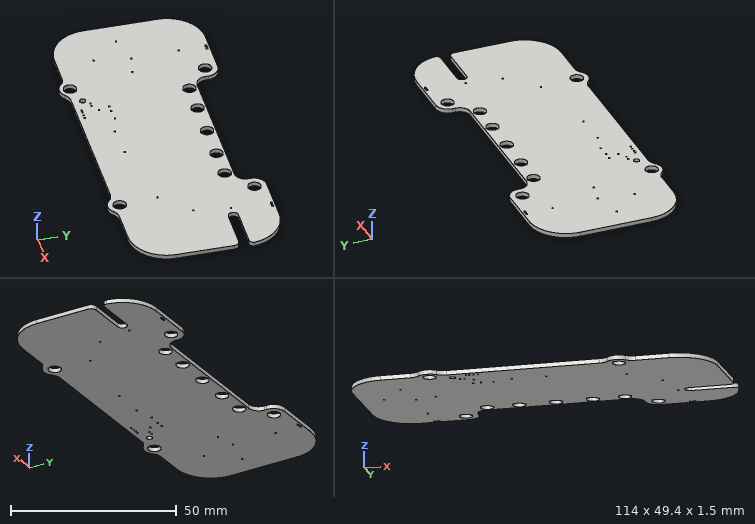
import cadquery as cq

length = 114.0
overall_width = 49.4
thickness = 1.5
corner_radius = 12.0

half_length = length / 2
top_y = overall_width / 2
lug_drop = 2.3
bottom_y = -top_y + lug_drop

notch_half_width = 26.0
notch_floor_y = 16.4
notch_outer_radius = 4.0
notch_inner_radius = 3.4

lug_radius = 4.0
lug_blend_radius = 4.0
lug_left_x = -30.1
lug_right_x = 29.0

side_slot_width = 3.1
side_slot_y = 11.1
side_slot_end_x = 41.0
lower_lip_radius = 1.8
upper_lip_radius = 1.4

hole_diameter = 4.0
mounting_holes = [(-30.1, 20.7), (30.1, 20.7), (lug_left_x, -21.3), (lug_right_x, -20.9)]
row_y = 13.7
row_holes = [(x, row_y) for x in (-21.5, -11.5, 0, 11.5, 21.5)]

locating_diameter = 1.8
locating_hole = (-23.5, -19.0)

narrow_slot_length = 2.0
narrow_slot_width = 0.5
narrow_slot_x = 40.0
narrow_slot_y = 23.7

via_diameter = 0.4
vias = [
    (-49.5, -2.0),
    (-42.0, -11.0),
    (-40.5, 15.2),
    (-40.1, 0.3),
    (-33.6, -1.0),
    (-21.7, -17.1),
    (-20.3, -17.1),
    (-18.9, -12.0),
    (-17.9, -15.4),
    (-16.5, -12.0),
    (-12.7, -11.7),
    (-6.5, -13.3),
    (4.1, -13.0),
    (28.2, -8.9),
    (37.0, 0.0),
    (38.8, 11.3),
]
via_row_y = -20.5
vias += [(x, via_row_y) for x in (-18.9, -17.9, -16.5, -15.2)]


def round_vertical_edges(body, points, radius):
    """Fillet the vertical edge standing at each plan point."""
    for x, y in points:
        nearest = cq.selectors.NearestToPointSelector((x, y, thickness / 2))
        body = body.edges("|Z").edges(nearest).fillet(radius)
    return body


def slab(width_x, width_y, x, y):
    """Full-thickness block centred at (x, y)."""
    return cq.Workplane("XY").center(x, y).rect(width_x, width_y).extrude(thickness)


def drill(body, points, diameter):
    """Cut through holes of one diameter."""
    return body.cut(cq.Workplane("XY").pushPoints(points).circle(diameter / 2).extrude(thickness))


def add_lug(body, x):
    """Add a round lug to the lower edge and blend it into that edge."""
    centre_y = -top_y + lug_radius
    lug = cq.Workplane("XY").center(x, centre_y).circle(lug_radius).extrude(thickness)
    body = body.union(lug)
    half_chord = (lug_radius**2 - (centre_y - bottom_y) ** 2) ** 0.5
    roots = [(x - half_chord, bottom_y), (x + half_chord, bottom_y)]
    return round_vertical_edges(body, roots, lug_blend_radius)


def cut_notch(body):
    """Cut the notch in the upper edge and round its four corners."""
    depth = top_y - notch_floor_y
    body = body.cut(slab(2 * notch_half_width, depth, 0, notch_floor_y + depth / 2))
    sides = (-notch_half_width, notch_half_width)
    body = round_vertical_edges(body, [(x, top_y) for x in sides], notch_outer_radius)
    return round_vertical_edges(body, [(x, notch_floor_y) for x in sides], notch_inner_radius)


def cut_side_slot(body):
    """Cut the round-ended slot open to the right and round its lips."""
    end_radius = side_slot_width / 2
    end_centre_x = side_slot_end_x + end_radius
    run = half_length - end_centre_x
    body = body.cut(slab(run, side_slot_width, end_centre_x + run / 2, side_slot_y))
    body = drill(body, [(end_centre_x, side_slot_y)], side_slot_width)
    lower_lip = [(half_length, side_slot_y - end_radius)]
    upper_lip = [(half_length, side_slot_y + end_radius)]
    body = round_vertical_edges(body, lower_lip, lower_lip_radius)
    return round_vertical_edges(body, upper_lip, upper_lip_radius)


def cut_narrow_slots(body):
    """Cut the pair of small round-ended slots through the board."""
    centres = [(-narrow_slot_x, narrow_slot_y), (narrow_slot_x, narrow_slot_y)]
    slots = cq.Workplane("XY").pushPoints(centres).slot2D(narrow_slot_length, narrow_slot_width)
    return body.cut(slots.extrude(thickness))


board = slab(length, top_y - bottom_y, 0, (top_y + bottom_y) / 2)
board = board.edges("|Z").fillet(corner_radius)
board = add_lug(board, lug_left_x)
board = add_lug(board, lug_right_x)
board = cut_notch(board)
board = cut_side_slot(board)
board = drill(board, mounting_holes + row_holes, hole_diameter)
board = drill(board, [locating_hole], locating_diameter)
board = drill(board, vias, via_diameter)
result = cut_narrow_slots(board)